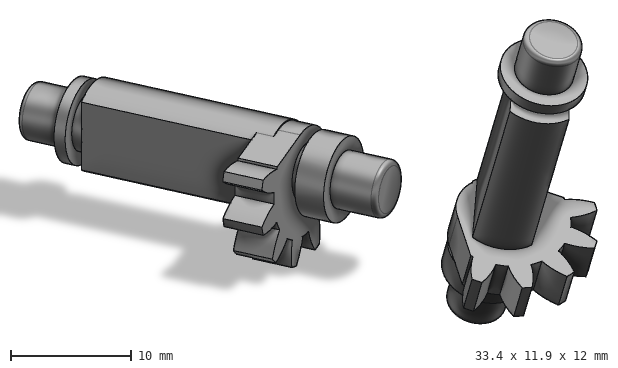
import cadquery as cq
import math

shaft_length = 33.4
journal_radius = 2.5
end_rounding = 0.47
flange_radius = 3.7
left_flange_start, left_flange_end = 4.05, 5.08
right_flange_start, right_flange_end = 26.45, 29.15

body_radius = 4
body_half_width = journal_radius
body_start, body_end = 5.98, 23.55

slope_start = 5.4
slope_top_y = 2.1

gear_start, gear_end = 21.95, 25.6
hub_radius = 3.9
root_radius = 5.85
flank_radius = 7.08
tip_radius = 8.22
root_half_width = 1.0
flank_half_width = 0.85
tip_half_width = 0.45
tooth_pitch = 360 / 12
tooth_count = 5
first_tooth_angle = tooth_pitch / 2
sector_axis_angle = first_tooth_angle - tooth_pitch * (tooth_count - 1) / 2
hub_half_wrap = 120


def cylinder(start, end, radius):
    """Round length of shaft between two X positions."""
    return cq.Workplane("YZ", origin=(start, 0, 0)).circle(radius).extrude(end - start)


def polar(radius, angle):
    """(Y, Z) of a point, with the angle in degrees measured from -Y towards +Z."""
    turn = math.radians(angle)
    return (-radius * math.cos(turn), radius * math.sin(turn))


def half_angle(radius, half_width):
    """Angle that half the tooth thickness spans at a radius."""
    return math.degrees(math.asin(half_width / radius))


def make_shaft():
    shaft = cylinder(0, shaft_length, journal_radius).faces("<X or >X").edges().fillet(end_rounding)
    left_flange = cylinder(left_flange_start, left_flange_end, flange_radius)
    right_flange = cylinder(right_flange_start, right_flange_end, flange_radius)
    return shaft.union(left_flange).union(right_flange)


def make_body():
    length = body_end - body_start
    flats = cq.Workplane("YZ", origin=(body_start, 0, 0)).rect(2 * body_half_width, 2 * body_radius)
    return cylinder(body_start, body_end, body_radius).intersect(flats.extrude(length))


def make_slope_cut():
    """Wedge outside a plane through the body's upper and lower +Y corners."""
    top_z = math.sqrt(body_radius**2 - slope_top_y**2)
    bottom_z = -math.sqrt(body_radius**2 - body_half_width**2)
    return (
        cq.Workplane("YZ", origin=(slope_start, 0, 0))
        .moveTo(body_half_width, bottom_z)
        .lineTo(slope_top_y, top_z)
        .lineTo(body_half_width, body_radius)
        .close()
        .extrude(gear_start - slope_start)
    )


def make_gear():
    root_half = half_angle(root_radius, root_half_width)
    flank_half = half_angle(flank_radius, flank_half_width)
    tip_half = half_angle(tip_radius, tip_half_width)

    hub_top_angle = sector_axis_angle + hub_half_wrap
    hub_bottom_angle = sector_axis_angle - hub_half_wrap
    tangent_span = math.degrees(math.acos(hub_radius / root_radius))
    root_angle = hub_top_angle - tangent_span
    last_root_angle = hub_bottom_angle + tangent_span

    outline = (
        cq.Workplane("YZ", origin=(gear_start, 0, 0))
        .moveTo(*polar(hub_radius, hub_top_angle))
        .lineTo(*polar(root_radius, root_angle))
    )
    for index in range(tooth_count):
        tooth = first_tooth_angle - index * tooth_pitch
        root_middle = (root_angle + tooth + root_half) / 2
        outline = (
            outline.threePointArc(polar(root_radius, root_middle), polar(root_radius, tooth + root_half))
            .threePointArc(polar(flank_radius, tooth + flank_half), polar(tip_radius, tooth + tip_half))
            .threePointArc(polar(tip_radius, tooth), polar(tip_radius, tooth - tip_half))
            .threePointArc(polar(flank_radius, tooth - flank_half), polar(root_radius, tooth - root_half))
        )
        root_angle = tooth - root_half
    last_root_middle = (root_angle + last_root_angle) / 2
    return (
        outline.threePointArc(polar(root_radius, last_root_middle), polar(root_radius, last_root_angle))
        .lineTo(*polar(hub_radius, hub_bottom_angle))
        .threePointArc(polar(hub_radius, sector_axis_angle + 180), polar(hub_radius, hub_top_angle))
        .close()
        .extrude(gear_end - gear_start)
    )


result = make_shaft().union(make_body()).cut(make_slope_cut()).union(make_gear())